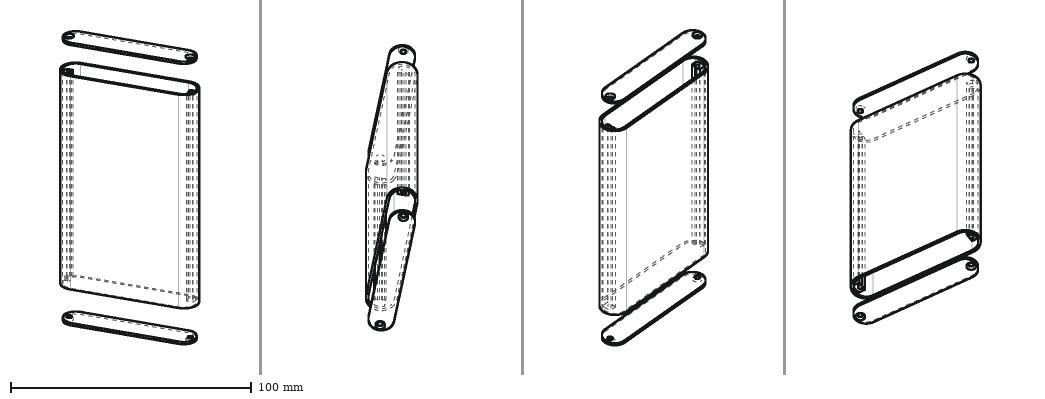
import cadquery as cq

total_height = 132.6
sleeve_width = 61.0
sleeve_depth = 13.0
sleeve_height = 100.0
wall = 1.0

plate_width = sleeve_width - 2 * wall
plate_depth = sleeve_depth - 2 * wall
plate_thickness = 1.2
plate_gap_above = 14.0

screw_x = 26.9
plate_hole_diameter = 2.1
countersink_diameter = 4.0
countersink_angle = 90

block_inner_x = 26.0
block_depth = 4.5
block_setback = 1.6
block_bore_diameter = 2.0

sleeve_top = total_height - plate_thickness - plate_gap_above
sleeve_bottom = sleeve_top - sleeve_height
block_height = sleeve_height - 2 * block_setback

screw_points = [(-screw_x, 0), (screw_x, 0)]


def stadium(width, depth, height, bottom):
    """Solid with a round-ended section, standing on the given height."""
    return cq.Workplane("XY").workplane(offset=bottom).slot2D(width, depth).extrude(height)


def make_screw_blocks():
    """Pair of bored blocks whose ends are set back to leave room for the plates."""
    base = cq.Workplane("XY").workplane(offset=sleeve_bottom + block_setback)
    outline = stadium(sleeve_width, sleeve_depth, sleeve_height, sleeve_bottom)
    bar = base.rect(sleeve_width, block_depth).extrude(block_height)
    middle = base.rect(2 * block_inner_x, block_depth).extrude(block_height)
    bores = base.pushPoints(screw_points).circle(block_bore_diameter / 2).extrude(block_height)
    return bar.intersect(outline).cut(middle).cut(bores)


def make_sleeve():
    """Open-ended tube with the screw blocks joined to its round ends."""
    outer = stadium(sleeve_width, sleeve_depth, sleeve_height, sleeve_bottom)
    cavity = stadium(plate_width, plate_depth, sleeve_height, sleeve_bottom)
    return outer.cut(cavity).union(make_screw_blocks())


def make_end_plate(bottom, outer_face):
    """Plate with two screw holes countersunk from its outer face."""
    plate = stadium(plate_width, plate_depth, plate_thickness, bottom)
    return (
        plate.faces(outer_face)
        .workplane(origin=(0, 0, 0))
        .pushPoints(screw_points)
        .cskHole(plate_hole_diameter, countersink_diameter, countersink_angle)
    )


sleeve = make_sleeve()

plate_placements = [(0, "<Z"), (total_height - plate_thickness, ">Z")]
end_plates = [make_end_plate(bottom, outer_face) for bottom, outer_face in plate_placements]

result = cq.Compound.makeCompound([sleeve.val(), *[plate.val() for plate in end_plates]])